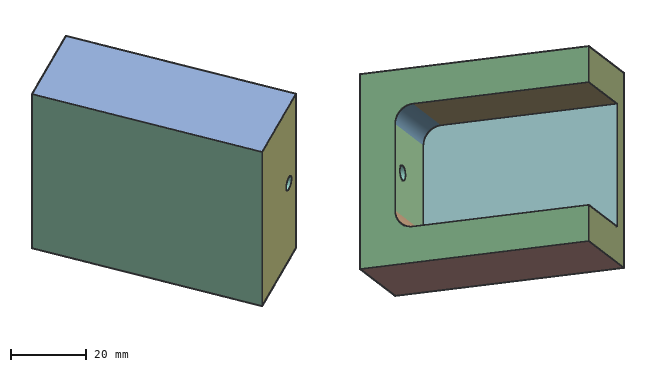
import cadquery as cq

length = 65.0
depth = 25.0
height = 54.0

side_wall = 10.0
end_wall = side_wall
back_wall = 5.0
corner_radius = 5.0

hole_diameter = 4.0
hole_from_open_face = 5.3

pocket_length = length - end_wall
pocket_depth = depth - back_wall
pocket_height = height - 2 * side_wall


def make_block():
    """Solid block with one corner at the origin."""
    return cq.Workplane("XY").box(length, depth, height, centered=False)


def make_pocket():
    """Pocket volume with its two inner corners at the end wall rounded."""
    return (
        cq.Workplane("XY")
        .box(pocket_length, pocket_depth, pocket_height, centered=False)
        .edges("|Y and >X")
        .fillet(corner_radius)
        .translate((0, back_wall, side_wall))
    )


def make_end_hole():
    """Cylinder along X that passes through the end wall."""
    return (
        cq.Workplane("YZ", origin=(pocket_length, 0, 0))
        .center(depth - hole_from_open_face, height / 2)
        .circle(hole_diameter / 2)
        .extrude(end_wall)
    )


result = make_block().cut(make_pocket()).cut(make_end_hole())